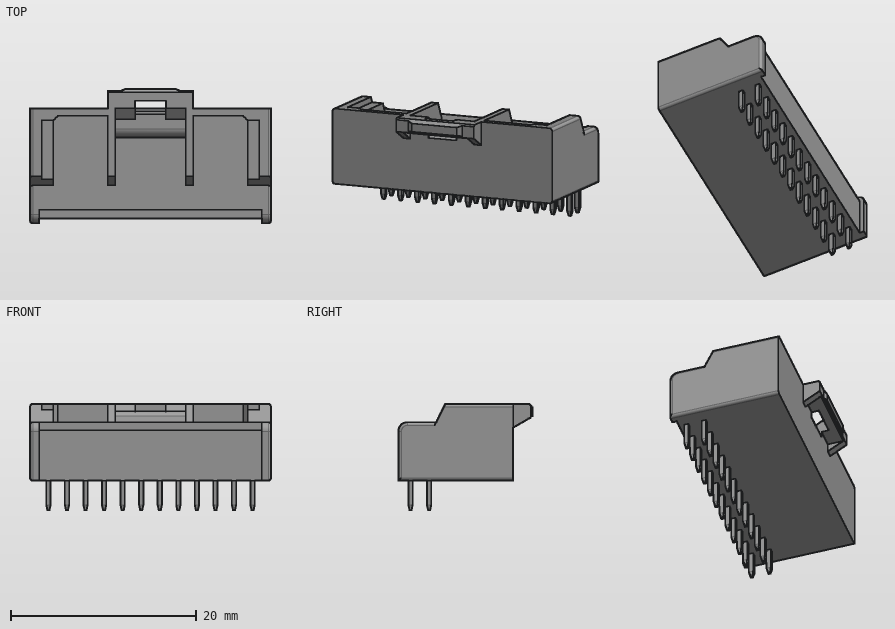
import cadquery as cq


width = 26.0
depth = 12.4
height = 8.3
floor_height = 6.32
slope_top_y = 5.07
slope_foot_y = 4.08
front_round = 1.0
side_fillet = 0.3
wall = 0.8

column_width = 1.0
recess_depth = 0.5
ledge_height = 5.45
ledge_depth = 1.45

rib_half_spacing = 4.6
end_block_width = 2.52
pocket_chamfer = 0.5
end_rim_width = 1.25
end_shelf_drop = 0.65

total_depth = 14.5
bump_depth = 0.2
latch_chamfer = 0.4
latch_face_bottom = 6.8
latch_root_bottom = 5.72
latch_bar_bottom = 6.73
bump_bottom = 6.97
bump_half_width = 3.2
bump_crest_half_width = 2.68

seat_height = 7.5
seat_back_y = 11.78
seat_ramp_y = 11.2
seat_round_y = 10.22
nose_y = 9.4
nose_height = 7.0
seat_foot_y = 9.23
window_half_width = 1.66
window_back_y = 13.2
sill_chamfer = 0.3

pin_rows = 2
pins_per_row = 12
pin_pitch = 2.0
first_row_y = 1.33
pin_width = 0.5
pin_length = 3.2
tip_length = 0.6
tip_end_width = 0.23

back_wall_y = depth - wall
rib_inner = rib_half_spacing - wall
latch_face_y = total_depth - bump_depth


def side_profile(start=(0, 0)):
    """Start an outline in the YZ plane at X = 0, to be extruded equally both ways."""
    return cq.Workplane("YZ").moveTo(*start)


def box(x_range, y_range, z_range):
    """Box between the given limits."""
    size = [high - low for low, high in (x_range, y_range, z_range)]
    corner = (x_range[0], y_range[0], z_range[0])
    return cq.Workplane("XY").box(*size, centered=False).translate(corner)


def make_housing():
    """Solid housing with the stepped side outline and softened end edges."""
    body = (
        side_profile()
        .lineTo(0, floor_height - front_round)
        .radiusArc((front_round, floor_height), front_round)
        .lineTo(slope_foot_y, floor_height)
        .lineTo(slope_top_y, height)
        .lineTo(depth, height)
        .lineTo(depth, 0)
        .close()
        .extrude(width / 2, both=True)
    )
    for side in ("<X", ">X"):
        softened = [edge for edge in body.faces(side).edges().vals() if is_softened(edge)]
        body = body.newObject(softened).fillet(side_fillet)
    return body


def is_softened(edge):
    """True for the end-face edges that are rounded: all but the slope and the back edge."""
    middle = edge.Center()
    on_slope = slope_foot_y < middle.y < slope_top_y and floor_height < middle.z < height
    return not on_slope and middle.y < depth - side_fillet


def front_recess():
    """Recess between the corner columns and the ledge along its top."""
    half = width / 2 - column_width
    face = box((-half, half), (0, recess_depth), (0, height))
    ledge = box((-half, half), (0, ledge_depth), (ledge_height, height))
    return face.union(ledge)


def side_pocket():
    """Open-fronted pocket on the +X side, with one chamfered back corner and the end shelf."""
    end = width / 2 - end_block_width
    pocket = (
        cq.Workplane("XY", origin=(0, 0, floor_height))
        .moveTo(rib_half_spacing, slope_foot_y)
        .lineTo(end, slope_foot_y)
        .lineTo(end, back_wall_y - pocket_chamfer)
        .lineTo(end - pocket_chamfer, back_wall_y)
        .lineTo(rib_half_spacing, back_wall_y)
        .close()
        .extrude(height - floor_height)
    )
    shelf = box(
        (end, width / 2 - end_rim_width),
        (slope_foot_y, back_wall_y - pocket_chamfer),
        (height - end_shelf_drop, height),
    )
    return pocket.union(shelf)


def seat_cut():
    """Space between the ribs above the ramp, the seat and its rounded nose."""
    return (
        side_profile((depth, height))
        .lineTo(seat_ramp_y, seat_height)
        .lineTo(seat_round_y, seat_height)
        .tangentArcPoint((nose_y, nose_height), relative=False)
        .lineTo(seat_foot_y, floor_height)
        .lineTo(slope_foot_y, floor_height)
        .lineTo(slope_foot_y, height)
        .close()
        .extrude(rib_inner, both=True)
    )


def make_latch():
    """Overhanging lock bar on two sloped gussets, with a shallow bump on its outer face."""
    bar = (
        side_profile((depth, latch_root_bottom))
        .lineTo(latch_face_y, latch_face_bottom)
        .lineTo(latch_face_y, height)
        .lineTo(depth, height)
        .close()
        .extrude(rib_half_spacing, both=True)
    )
    bump = (
        cq.Workplane("XY", origin=(0, 0, bump_bottom))
        .moveTo(-bump_half_width, latch_face_y)
        .lineTo(-bump_crest_half_width, total_depth)
        .lineTo(bump_crest_half_width, total_depth)
        .lineTo(bump_half_width, latch_face_y)
        .close()
        .extrude(height - bump_bottom)
    )
    underside_gap = box((-rib_inner, rib_inner), (depth, total_depth), (0, latch_bar_bottom))
    top_chamfer = (
        side_profile((total_depth, height))
        .lineTo(total_depth, height - latch_chamfer)
        .lineTo(total_depth - latch_chamfer, height)
        .close()
        .extrude(rib_half_spacing, both=True)
    )
    return bar.union(bump).cut(underside_gap).cut(top_chamfer)


def lock_window():
    """Window through the lock bar, with a chamfered sill where it cuts into the back wall."""
    return (
        side_profile((seat_back_y, height))
        .lineTo(seat_back_y, floor_height)
        .lineTo(depth - sill_chamfer, floor_height)
        .lineTo(depth, floor_height - sill_chamfer)
        .lineTo(depth, 0)
        .lineTo(window_back_y, 0)
        .lineTo(window_back_y, height)
        .close()
        .extrude(window_half_width, both=True)
    )


def ramp_gap():
    """Clears the ramp material in front of the window down to the seat."""
    return box((-window_half_width, window_half_width), (seat_ramp_y, seat_back_y), (seat_height, height))


def make_pin(x, y):
    """Square pin below the housing, tapering at its tip."""
    shank_end = tip_length - pin_length
    shank = cq.Workplane("XY", origin=(x, y, 0)).rect(pin_width, pin_width).extrude(shank_end)
    tip = (
        cq.Workplane("XY", origin=(x, y, shank_end))
        .rect(pin_width, pin_width)
        .workplane(offset=-tip_length)
        .rect(tip_end_width, tip_end_width)
        .loft(ruled=True)
    )
    return shank.union(tip)


pocket = side_pocket()
result = (
    make_housing()
    .union(make_latch())
    .cut(front_recess())
    .cut(pocket)
    .cut(pocket.mirror("YZ"))
    .cut(seat_cut())
    .cut(lock_window())
    .cut(ramp_gap())
)

for row in range(pin_rows):
    for column in range(pins_per_row):
        pin_x = (column - (pins_per_row - 1) / 2) * pin_pitch
        result = result.union(make_pin(pin_x, first_row_y + row * pin_pitch))